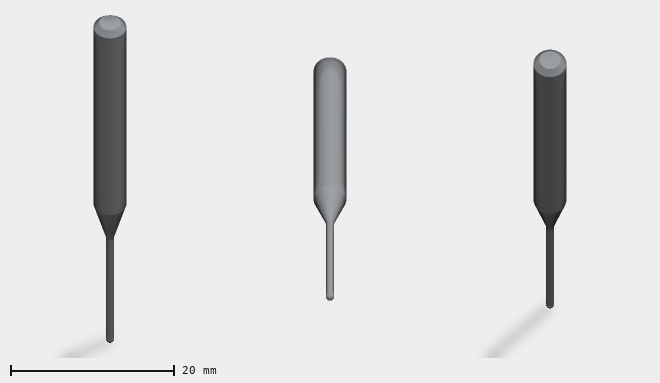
import cadquery as cq
import math

overall_length = 55.0

head_radius = 0.5
head_length = 0.75

neck_radius = 0.475
neck_top = 18.0
taper_end_radius = 0.55
taper_bottom = 18.3
taper_top = 23.8
shank_diameter = 4.0
shank_radius = shank_diameter / 2
end_chamfer = 0.7


def make_cutting_head():
    """Short cylinder ending in a hemispherical tip at Z = 0."""
    arc_offset = head_radius * math.sqrt(0.5)
    return (
        cq.Workplane("XZ")
        .moveTo(0, 0)
        .threePointArc((arc_offset, head_radius - arc_offset), (head_radius, head_radius))
        .lineTo(head_radius, head_length)
        .lineTo(0, head_length)
        .close()
        .revolve(360, (0, 0), (0, 1))
    )


def make_shank():
    """Slim neck, conical transition and chamfered cylindrical shank above the head."""
    outline = [
        (0, head_length),
        (neck_radius, head_length),
        (neck_radius, neck_top),
        (taper_end_radius, taper_bottom),
        (shank_radius, taper_top),
        (shank_radius, overall_length - end_chamfer),
        (shank_radius - end_chamfer, overall_length),
        (0, overall_length),
    ]
    return cq.Workplane("XZ").polyline(outline).close().revolve(360, (0, 0), (0, 1))


cutting_head = make_cutting_head()
shank = make_shank()

result = cq.Compound.makeCompound([cutting_head.val(), shank.val()])